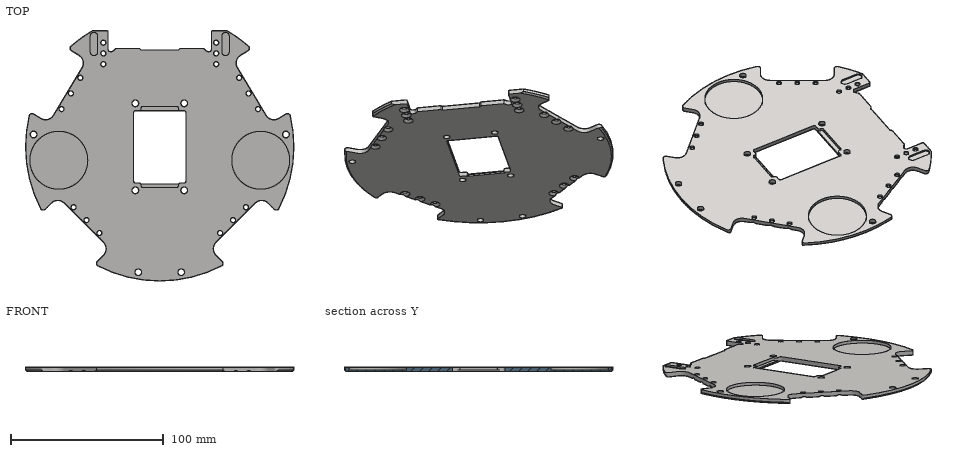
import cadquery as cq
import math

thickness = 3.0
rim_radius = 87.9
rim_chamfer = 1.0
tab_end_y = 76.1

wheel_angles = (31.0, 149.0, 225.0, 315.0)
wheel_flat = 70.3
wheel_half_width = 24.0
wheel_corner_radius = 6.0
wheel_tip_radius = 2.0

tab_inner_x = 33.7
tab_corner_radius = 1.0
front_edge_y = 64.5
relief_floor_y = 62.4
relief_floor_x = 31.0
relief_corner_radius = 1.4
step_half_width = 13.4
step_depth = 1.0

window_half_x = 17.0
window_half_y = 23.5
window_corner_radius = 1.0
recess_half_width = 12.1
recess_end_y = 26.5
recess_mouth_radius = 1.5
recess_corner_radius = 0.9
rear_ledge_y = 24.3

pocket_depth = 2.0
disc_pocket_diameter = 38.0
disc_pocket_x = 66.1
disc_pocket_y = -8.8
slot_width = 5.0
slot_length = 15.1
slot_depth = 1.0
slot_x = 43.0
slot_y = 67.3

screw_diameter = 3.2
countersink_diameter = 6.3
countersink_angle = 90.0
wheel_screw_radius = 67.8
wheel_screw_pitch = 12.0
tab_screw_x = 36.9
tab_screw_y = 61.2
tab_screw_pitch = 7.0
large_hole_diameter = 4.2
window_hole_x = 16.0
window_hole_y = 28.5
side_hole_x = 82.6
side_hole_y = 8.0
rear_hole_x = 14.0
rear_hole_y = -82.0


def at_wheel(angle, outward, sideways):
    """Point given by its distance along a wheel axle and across it."""
    a = math.radians(angle)
    x = outward * math.cos(a) - sideways * math.sin(a)
    y = outward * math.sin(a) + sideways * math.cos(a)
    return (x, y)


def mirrored(x, y):
    return [(-x, y), (x, y)]


def cylinders(points, diameter, bottom=0.0):
    """Cylinders from a given height up through the top face."""
    plane = cq.Workplane("XY").workplane(offset=bottom)
    return plane.pushPoints(points).circle(diameter / 2).extrude(thickness - bottom)


def fillet_at(body, points, radius):
    """Round the upright edges that stand at the given points."""
    for x, y in points:
        edge = cq.selectors.NearestToPointSelector((x, y, thickness / 2))
        body = body.edges("|Z").edges(edge).fillet(radius)
    return body


def wheel_cutter(angle):
    length = rim_radius
    block = cq.Workplane("XY").box(length, 2 * wheel_half_width, thickness, centered=(False, True, False))
    block = block.edges("|Z and <X").fillet(wheel_corner_radius)
    return block.translate((wheel_flat, 0, 0)).rotate((0, 0, 0), (0, 0, 1), angle)


def front_cutter():
    """Everything removed in front of the edge between the tabs."""
    relief_top_x = relief_floor_x - (front_edge_y - relief_floor_y)
    step_floor_x = step_half_width - step_depth
    right_side = [
        (step_floor_x, front_edge_y - step_depth),
        (step_half_width, front_edge_y),
        (relief_top_x, front_edge_y),
        (relief_floor_x, relief_floor_y),
        (tab_inner_x, relief_floor_y),
        (tab_inner_x, rim_radius),
    ]
    left_side = [(-x, y) for x, y in reversed(right_side)]
    cutter = cq.Workplane("XY").polyline(right_side + left_side).close().extrude(thickness)
    relief_corners = mirrored(tab_inner_x, relief_floor_y) + mirrored(relief_floor_x, relief_floor_y)
    return fillet_at(cutter, relief_corners, relief_corner_radius)


def make_outline():
    plate = cq.Workplane("XY").circle(rim_radius).extrude(thickness)
    beyond_tabs = cq.Workplane("XY").box(2 * rim_radius, rim_radius, thickness, centered=(True, False, False))
    plate = plate.cut(beyond_tabs.translate((0, tab_end_y, 0))).cut(front_cutter())
    for angle in wheel_angles:
        plate = plate.cut(wheel_cutter(angle))

    tip_distance = math.sqrt(rim_radius**2 - wheel_half_width**2)
    tips = [at_wheel(a, tip_distance, s * wheel_half_width) for a in wheel_angles for s in (-1, 1)]
    plate = fillet_at(plate, tips, wheel_tip_radius)
    plate = fillet_at(plate, mirrored(tab_inner_x, tab_end_y), tab_corner_radius)

    chamfered_disc = cq.Workplane("XY").circle(rim_radius).extrude(thickness).faces("<Z").chamfer(rim_chamfer)
    return plate.intersect(chamfered_disc)


def recess_outline(plane):
    """Recess on the +Y side of the window: flared mouth and rounded far corners."""
    w = recess_half_width
    m = recess_mouth_radius
    c = recess_corner_radius
    straight_end = recess_end_y - c
    return (
        plane.moveTo(-w - m, window_half_y)
        .radiusArc((-w, window_half_y + m), -m)
        .lineTo(-w, straight_end)
        .radiusArc((-w + c, recess_end_y), c)
        .lineTo(w - c, recess_end_y)
        .radiusArc((w, straight_end), c)
        .lineTo(w, window_half_y + m)
        .radiusArc((w + m, window_half_y), -m)
        .close()
    )


def cut_window(plate):
    window = cq.Workplane("XY").rect(2 * window_half_x, 2 * window_half_y).extrude(thickness)
    window = window.edges("|Z").fillet(window_corner_radius)
    floor = cq.Workplane("XY").workplane(offset=thickness - pocket_depth)
    recess = recess_outline(floor).extrude(pocket_depth)

    rear_strip = cq.Workplane("XY").rect(2 * window_half_x, 2 * rear_ledge_y).extrude(thickness)
    rear_opening = recess_outline(cq.Workplane("XY")).extrude(thickness).intersect(rear_strip)
    return plate.cut(window).cut(recess).cut(recess.mirror("XZ")).cut(rear_opening.mirror("XZ"))


def cut_pockets(plate):
    disc_centers = mirrored(disc_pocket_x, disc_pocket_y)
    discs = cylinders(disc_centers, disc_pocket_diameter, thickness - pocket_depth)
    slot_plane = cq.Workplane("XY").workplane(offset=thickness - slot_depth)
    slots = slot_plane.pushPoints(mirrored(slot_x, slot_y)).slot2D(slot_length, slot_width, 90).extrude(slot_depth)
    return plate.cut(discs).cut(slots)


def cut_holes(plate):
    screws = []
    for i in (-1, 0, 1):
        screws += [at_wheel(a, wheel_screw_radius, i * wheel_screw_pitch) for a in wheel_angles]
        screws += mirrored(tab_screw_x, tab_screw_y + i * tab_screw_pitch)
    plate = plate.cut(cylinders(screws, screw_diameter))

    sink_radius = countersink_diameter / 2
    sink_height = sink_radius / math.tan(math.radians(countersink_angle / 2))
    for x, y in screws:
        plate = plate.cut(cq.Workplane(cq.Solid.makeCone(sink_radius, 0, sink_height, pnt=(x, y, 0))))

    large_holes = mirrored(window_hole_x, window_hole_y) + mirrored(window_hole_x, -window_hole_y)
    large_holes += mirrored(side_hole_x, side_hole_y) + mirrored(rear_hole_x, rear_hole_y)
    return plate.cut(cylinders(large_holes, large_hole_diameter))


result = cut_holes(cut_pockets(cut_window(make_outline())))